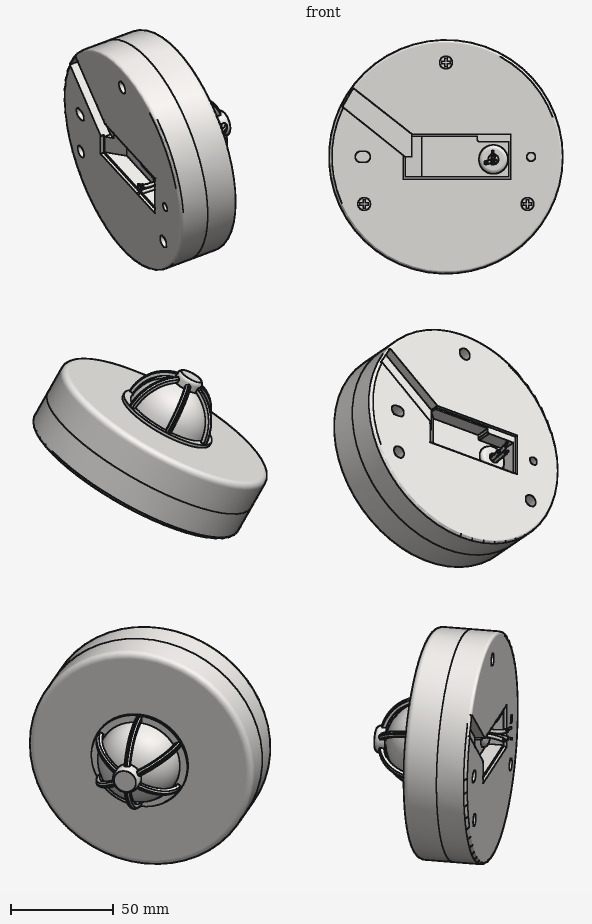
import cadquery as cq


TOP_ANGLE = 90

HOUSING_RADIUS = 57.0
SEAM_Y = 15.0
FRONT_FACE_Y = 32.1
BACK_FILLET = 1.5
FRONT_FILLET = 3.1

POCKET_LEFT = -20.9
POCKET_RIGHT = 31.7
POCKET_BOTTOM = -10.8
POCKET_TOP = 11.1
LEDGE_WIDTH = 1.0
LEDGE_DEPTH = 1.7
POCKET_DEPTH = 9.7
TAB_LEFT = 15.2
TAB_HEIGHT = 2.6
TAB_CHAMFER = 0.8

CHANNEL_DEPTH = 5.0
CHANNEL_OUTER_TOP = (-45.1, 33.5)
CHANNEL_OUTER_BOTTOM = (-50.4, 24.4)
CHANNEL_SILL_Z = 0.0

SCREW_COUNT = 3
SCREW_CIRCLE_RADIUS = 45.9
SCREW_HOLE_RADIUS = 3.1
SCREW_HOLE_DEPTH = 6.8
CROSS_LENGTH = 4.1
CROSS_WIDTH = 1.1
CROSS_DEPTH = 1.1
MOUNT_HOLE_X = 41.5
MOUNT_HOLE_DIAMETER = 4.2
MOUNT_SLOT_X = -40.5
MOUNT_SLOT_LENGTH = 7.3
MOUNT_SLOT_WIDTH = 5.5
MOUNT_DEPTH = 6.8

GROMMET_X = 23.1
GROMMET_Z = -1.3
GROMMET_RADIUS = 7.1
GROMMET_HEIGHT = 2.4
GROMMET_FILLET = 2.0
GROMMET_BORE_RADIUS = 2.5
WIRE_RADIUS = 0.9
CORE_RADIUS = 0.5
WIRES = [
    ((23.0, 0.0), (22.9, -1.9, 1.0), (22.8, -4.2, 2.7)),
    ((22.0, -2.2), (19.5, -1.1, -2.8), (19.0, -2.2, -3.0)),
    ((24.2, -2.2), (22.8, -2.5, -3.0), (22.7, -4.6, -3.1)),
]

FLANGE_RADIUS = 24.4
FLANGE_THICKNESS = 1.6
DOME_RADIUS = 20.7
RIB_COUNT = 6
RIB_OUTER_RADIUS = 24.3
RIB_INNER_RADIUS = 21.8
RIB_WIDTH = 2.6
RIB_CREST_WIDTH = 0.6
RIB_CREST_HEIGHT = 0.7
HUB_BOTTOM_Y = 52.4
CAP_RADIUS = 6.7
CAP_BOTTOM_Y = 55.7
CAP_TOP_Y = 57.9
CAP_FACE_RADIUS = 5.6
CAP_EDGE_RADIUS = 2.6

INNER_LEFT = POCKET_LEFT + LEDGE_WIDTH
INNER_RIGHT = POCKET_RIGHT - LEDGE_WIDTH
INNER_BOTTOM = POCKET_BOTTOM + LEDGE_WIDTH
INNER_TOP = POCKET_TOP - LEDGE_WIDTH
CHANNEL_END_X = INNER_LEFT + CHANNEL_DEPTH - LEDGE_DEPTH


def sketch_at(y):
    """Workplane at height y along the axis, with local axes X and Z."""
    return cq.Workplane("XZ", origin=(0, y, 0))


def disc(radius, y_start, y_end):
    """Cylinder about the Y axis between two heights."""
    return sketch_at(y_start).circle(radius).extrude(y_start - y_end)


def pocket_cutter():
    """Stepped pocket whose left end is a 45 degree ramp, with a tab at the top right."""
    recess = (
        sketch_at(0)
        .moveTo(POCKET_LEFT, POCKET_BOTTOM)
        .lineTo(POCKET_RIGHT, POCKET_BOTTOM)
        .lineTo(POCKET_RIGHT, POCKET_TOP)
        .lineTo(CHANNEL_END_X, POCKET_TOP)
        .lineTo(POCKET_LEFT, CHANNEL_SILL_Z)
        .close()
        .extrude(-LEDGE_DEPTH)
    )
    ramp_run = POCKET_DEPTH - LEDGE_DEPTH
    well = (
        cq.Workplane("XY", origin=(0, 0, INNER_BOTTOM))
        .moveTo(INNER_LEFT, LEDGE_DEPTH)
        .lineTo(INNER_RIGHT, LEDGE_DEPTH)
        .lineTo(INNER_RIGHT, POCKET_DEPTH)
        .lineTo(INNER_LEFT + ramp_run, POCKET_DEPTH)
        .close()
        .extrude(INNER_TOP - INNER_BOTTOM)
    )
    tab_bottom = INNER_TOP - TAB_HEIGHT
    tab = (
        sketch_at(LEDGE_DEPTH)
        .moveTo(TAB_LEFT, INNER_TOP)
        .lineTo(TAB_LEFT, tab_bottom + TAB_CHAMFER)
        .lineTo(TAB_LEFT + TAB_CHAMFER, tab_bottom)
        .lineTo(INNER_RIGHT, tab_bottom)
        .lineTo(INNER_RIGHT, INNER_TOP)
        .close()
        .extrude(LEDGE_DEPTH - POCKET_DEPTH)
    )
    return recess.union(well.cut(tab))


def channel_cutter():
    """Slanted cable channel that runs into the ramped end of the pocket."""
    return (
        sketch_at(0)
        .moveTo(*CHANNEL_OUTER_TOP)
        .lineTo(CHANNEL_END_X, POCKET_TOP)
        .lineTo(CHANNEL_END_X, CHANNEL_SILL_Z)
        .lineTo(INNER_LEFT, CHANNEL_SILL_Z)
        .lineTo(*CHANNEL_OUTER_BOTTOM)
        .close()
        .extrude(-CHANNEL_DEPTH)
    )


def screw_cutter():
    """Screw holes with a cross recess in the screw head at the bottom of each."""
    screw_places = (SCREW_CIRCLE_RADIUS, TOP_ANGLE, 360, SCREW_COUNT)
    mouths = sketch_at(0).polarArray(*screw_places, rotate=False)
    holes = mouths.circle(SCREW_HOLE_RADIUS).extrude(-SCREW_HOLE_DEPTH)
    heads = sketch_at(SCREW_HOLE_DEPTH).polarArray(*screw_places, rotate=False)
    across = heads.rect(CROSS_LENGTH, CROSS_WIDTH).extrude(-CROSS_DEPTH)
    upright = heads.rect(CROSS_WIDTH, CROSS_LENGTH).extrude(-CROSS_DEPTH)
    return holes.union(across).union(upright)


def mount_cutter():
    """Round mounting hole on one side and a slot on the other."""
    hole = sketch_at(0).center(MOUNT_HOLE_X, 0).circle(MOUNT_HOLE_DIAMETER / 2).extrude(-MOUNT_DEPTH)
    slot_face = sketch_at(0).center(MOUNT_SLOT_X, 0).slot2D(MOUNT_SLOT_LENGTH, MOUNT_SLOT_WIDTH)
    slot = slot_face.extrude(-MOUNT_DEPTH)
    return hole.union(slot)


def make_grommet():
    """Rounded ring on the pocket floor."""
    return (
        sketch_at(POCKET_DEPTH)
        .center(GROMMET_X, GROMMET_Z)
        .circle(GROMMET_RADIUS)
        .extrude(GROMMET_HEIGHT)
        .faces("<Y").edges().fillet(GROMMET_FILLET)
        .faces("<Y").workplane(origin=(GROMMET_X, 0, GROMMET_Z))
        .circle(GROMMET_BORE_RADIUS)
        .cutThruAll()
    )


def make_wire(root, insulation_end, tip):
    """Bent insulated wire that starts on the pocket floor and ends in a bare straight core."""
    start = cq.Vector(root[0], POCKET_DEPTH, root[1])
    bend_end = cq.Vector(*insulation_end)
    core_run = cq.Vector(*tip) - bend_end
    path = cq.Edge.makeSpline(
        [start, bend_end],
        tangents=[cq.Vector(0, -1, 0), core_run.normalized()],
    )
    insulation = (
        sketch_at(POCKET_DEPTH)
        .center(*root)
        .circle(WIRE_RADIUS)
        .sweep(cq.Workplane(path))
    )
    core = cq.Solid.makeCylinder(CORE_RADIUS, core_run.Length, bend_end, core_run)
    return insulation.union(cq.Workplane(core))


def make_base():
    """Back half of the housing, with its pocket, screws, grommet and wires."""
    base = disc(HOUSING_RADIUS, 0, SEAM_Y).faces("<Y").edges().fillet(BACK_FILLET)
    base = base.cut(pocket_cutter()).cut(channel_cutter()).cut(screw_cutter()).cut(mount_cutter())
    base = base.union(make_grommet())
    for root, insulation_end, tip in WIRES:
        base = base.union(make_wire(root, insulation_end, tip))
    return base


def make_rib(angle):
    """Quarter-circle cage rib with a bevelled outer crest, at an angle about the Y axis."""
    half_width = RIB_WIDTH / 2
    half_crest = RIB_CREST_WIDTH / 2
    shoulder = RIB_OUTER_RADIUS - RIB_CREST_HEIGHT
    return (
        cq.Workplane("XZ")
        .moveTo(RIB_INNER_RADIUS, -half_width)
        .lineTo(shoulder, -half_width)
        .lineTo(RIB_OUTER_RADIUS, -half_crest)
        .lineTo(RIB_OUTER_RADIUS, half_crest)
        .lineTo(shoulder, half_width)
        .lineTo(RIB_INNER_RADIUS, half_width)
        .close()
        .revolve(90, (0, 0), (0, 1))
        .rotate((0, 0, 0), (0, 1, 0), angle)
        .translate((0, FRONT_FACE_Y, 0))
    )


def make_cap():
    """Hub that the ribs run into, topped by a cap with a rounded edge."""
    return (
        cq.Workplane("XY")
        .moveTo(0, HUB_BOTTOM_Y)
        .lineTo(CAP_RADIUS, HUB_BOTTOM_Y)
        .lineTo(CAP_RADIUS, CAP_BOTTOM_Y)
        .radiusArc((CAP_FACE_RADIUS, CAP_TOP_Y), -CAP_EDGE_RADIUS)
        .lineTo(0, CAP_TOP_Y)
        .close()
        .revolve(360, (0, 0), (0, 1))
    )


def make_cover():
    """Front half of the housing, with the flange, dome, cage ribs, hub and cap."""
    cover = disc(HOUSING_RADIUS, SEAM_Y, FRONT_FACE_Y).faces(">Y").edges().fillet(FRONT_FILLET)
    flange = disc(FLANGE_RADIUS, FRONT_FACE_Y, FRONT_FACE_Y + FLANGE_THICKNESS)
    dome_room = disc(DOME_RADIUS, FRONT_FACE_Y, FRONT_FACE_Y + DOME_RADIUS)
    dome = sketch_at(FRONT_FACE_Y).sphere(DOME_RADIUS).intersect(dome_room)
    cover = cover.union(flange).union(dome).union(make_cap())
    for index in range(RIB_COUNT):
        cover = cover.union(make_rib(TOP_ANGLE + index * 360 / RIB_COUNT))
    return cover


base = make_base()
cover = make_cover()
result = cq.Compound.makeCompound([base.val(), cover.val()])